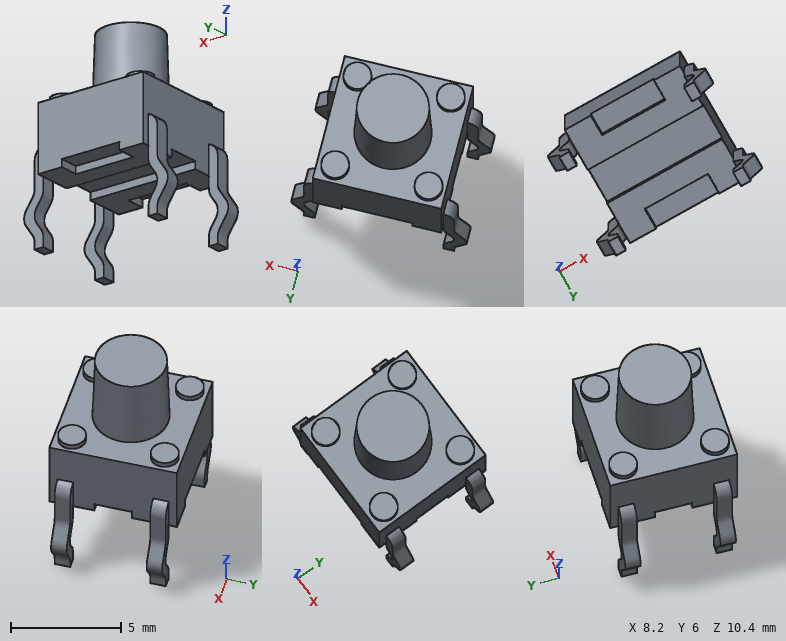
import cadquery as cq
import math

body_side = 6.0
body_height = 3.5
body_bottom = 3.45
body_top = body_bottom + body_height

recess_depth = 0.4
channel_width = 1.77
pocket_width = 3.28
pocket_reach = 1.05

overall_height = 10.45
button_top_radius = 1.64
button_base_radius = 1.76

rivet_radius = 0.64
rivet_height = 0.25
rivet_pitch = 4.35
rivet_turn_degrees = 0.55

lead_thickness = 0.5
lead_width = 0.73
lead_pitch = 4.49
lead_bend_radius = 0.68
lead_root_length = 0.84
lead_top = 5.03
kink_center = 1.65
kink_half_height = 1.1
kink_depth = 0.74


def make_body():
    """Block with a channel along X and a blind pocket in each Y side."""
    body = cq.Workplane("XY").workplane(offset=body_bottom).rect(body_side, body_side).extrude(body_height)
    underside = cq.Workplane("XY").workplane(offset=body_bottom)
    channel = underside.rect(body_side, channel_width).extrude(recess_depth)
    pockets = (
        underside.pushPoints([(0, side * (body_side - pocket_reach) / 2) for side in (-1, 1)])
        .rect(pocket_width, pocket_reach)
        .extrude(recess_depth)
    )
    return body.cut(channel).cut(pockets)


def make_button():
    """Round button narrowing evenly from the housing to its flat top."""
    return (
        cq.Workplane("XZ")
        .moveTo(0, body_top)
        .lineTo(0, overall_height)
        .lineTo(button_top_radius, overall_height)
        .lineTo(button_base_radius, body_top)
        .close()
        .revolve(360, (0, 0, 0), (0, 1, 0))
    )


def make_rivets():
    """Four low discs on the top face."""
    return (
        cq.Workplane("XY")
        .workplane(offset=body_top)
        .transformed(rotate=(0, 0, rivet_turn_degrees))
        .rect(rivet_pitch, rivet_pitch, forConstruction=True)
        .vertices()
        .circle(rivet_radius)
        .extrude(rivet_height)
    )


def make_lead():
    """Lead on the +X side, centred on Y = 0, with every bend rounded."""
    inner_x = body_side / 2
    outer_x = inner_x + lead_thickness
    root_x = inner_x - lead_root_length

    slope = math.atan2(kink_depth, kink_half_height)
    corner_shift = lead_thickness * math.tan(slope / 2)
    outer_peak_x = outer_x + kink_depth
    inner_peak_x = outer_peak_x - lead_thickness / math.cos(slope)
    kink_top = kink_center + kink_half_height
    kink_bottom = kink_center - kink_half_height

    outer_face = [
        (root_x, lead_top),
        (outer_x, lead_top),
        (outer_x, kink_top),
        (outer_peak_x, kink_center),
        (outer_x, kink_bottom),
        (outer_x, 0),
    ]
    inner_face = [
        (inner_x, 0),
        (inner_x, kink_bottom + corner_shift),
        (inner_peak_x, kink_center),
        (inner_x, kink_top - corner_shift),
        (inner_x, lead_top - lead_thickness),
        (root_x, lead_top - lead_thickness),
    ]
    strip = cq.Workplane("XZ").polyline(outer_face + inner_face).close().extrude(lead_width / 2, both=True)
    return strip.edges("|Y and (not <Z) and (not <X)").fillet(lead_bend_radius)


result = make_body().union(make_button()).union(make_rivets())
right_lead = make_lead()
for lead in (right_lead, right_lead.mirror("YZ")):
    for side in (-1, 1):
        result = result.union(lead.translate((0, side * lead_pitch / 2, 0)))